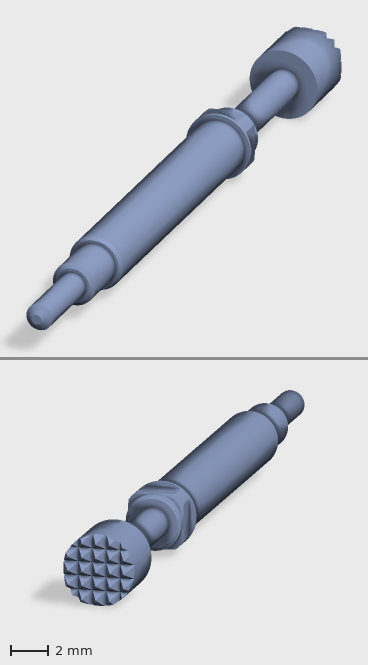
import cadquery as cq
import math

length = 38.0

pin_diameter = 1.52
pin_tip_diameter = 0.57
pin_tip_length = 0.38

sleeve_start = 4.95
sleeve_diameter = 2.47
sleeve_chamfer = 0.23

barrel_start = 7.95
barrel_diameter = 3.1
barrel_chamfer_length = 0.25
barrel_chamfer_depth = 0.1

flange_start = 25.0
flange_diameter = 3.75
flange_thickness = 0.2
flats_length = 1.15
head_cone_length = 0.15
head_end = 26.98
head_chamfer_length = 0.1
head_chamfer_depth = 0.2

stem_diameter = 1.8
crown_diameter = 4.0
crown_length = 3.95
outer_tooth_offset = 1.55
tooth_angle = 56.0
rim_bevel_depth = 0.65

flange_end = flange_start + flange_thickness
flats_end = flange_end + flats_length
crown_start = length - crown_length
tooth_pitch = outer_tooth_offset / 2
tooth_depth = tooth_pitch / 2 / math.tan(math.radians(tooth_angle / 2))


def make_turned_body():
    """Revolve the stepped profile of the whole probe about Y."""
    pin_radius = pin_diameter / 2
    sleeve_radius = sleeve_diameter / 2
    barrel_radius = barrel_diameter / 2
    flange_radius = flange_diameter / 2
    stem_radius = stem_diameter / 2
    crown_radius = crown_diameter / 2
    profile = [
        (0, 0),
        (pin_tip_diameter / 2, 0),
        (pin_radius, pin_tip_length),
        (pin_radius, sleeve_start),
        (sleeve_radius - sleeve_chamfer, sleeve_start),
        (sleeve_radius, sleeve_start + sleeve_chamfer),
        (sleeve_radius, barrel_start),
        (barrel_radius - barrel_chamfer_depth, barrel_start),
        (barrel_radius, barrel_start + barrel_chamfer_length),
        (barrel_radius, flange_start),
        (flange_radius, flange_start),
        (flange_radius, flats_end),
        (barrel_radius, flats_end + head_cone_length),
        (barrel_radius, head_end - head_chamfer_length),
        (barrel_radius - head_chamfer_depth, head_end),
        (stem_radius, head_end),
        (stem_radius, crown_start),
        (crown_radius, crown_start),
        (crown_radius, length),
        (0, length),
    ]
    return cq.Workplane("XY").polyline(profile).close().revolve(360, (0, 0, 0), (0, 1, 0))


def make_wrench_flats():
    """Material outside the square head, from the flange to the end of the head."""
    cut_length = head_end - flange_end
    return (
        cq.Workplane("XZ", origin=(0, flange_end, 0))
        .rect(2 * flange_diameter, 2 * flange_diameter)
        .rect(barrel_diameter, barrel_diameter)
        .extrude(-cut_length)
    )


def make_crown_cut(corners):
    """Prism along Z across the crown; corners are (X, height above the tooth tips)."""
    return (
        cq.Workplane("XY", origin=(0, length, 0))
        .polyline(corners)
        .close()
        .extrude(crown_diameter, both=True)
    )


def make_groove(center):
    """V-groove between two rows of teeth."""
    half_pitch = tooth_pitch / 2
    return make_crown_cut([(center - half_pitch, 0), (center + half_pitch, 0), (center, -tooth_depth)])


def make_rim_bevel(side):
    """Sloping cut from the outer row of teeth down to the rim; side is -1 or 1."""
    inner = side * outer_tooth_offset
    rim = side * crown_diameter / 2
    return make_crown_cut([(inner, 0), (rim, 0), (rim, -rim_bevel_depth)])


result = make_turned_body().cut(make_wrench_flats())

groove_centers = [step * tooth_pitch for step in (-1.5, -0.5, 0.5, 1.5)]
crown_cuts = [make_groove(center) for center in groove_centers]
crown_cuts += [make_rim_bevel(side) for side in (-1, 1)]
for crown_cut in crown_cuts:
    result = result.cut(crown_cut)
    result = result.cut(crown_cut.rotate((0, 0, 0), (0, 1, 0), 90))